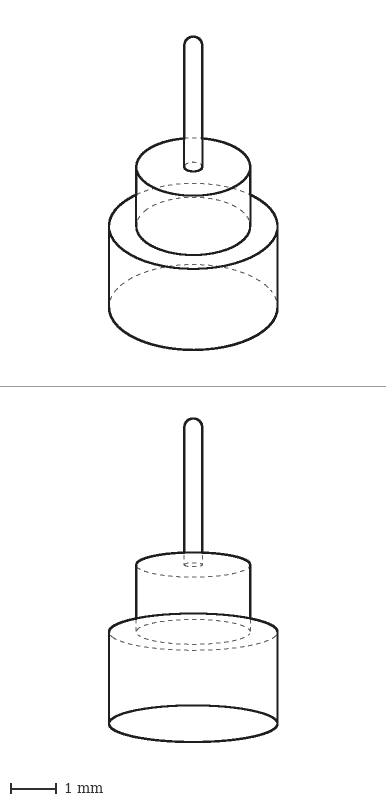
import cadquery as cq

total_height = 6.85
base_diameter = 3.7
base_height = 2.06
collar_diameter = 2.5
collar_height = 1.51
pin_diameter = 0.4

pin_radius = pin_diameter / 2
pin_height = total_height - base_height - collar_height

base = cq.Workplane("XY").circle(base_diameter / 2).extrude(base_height)
body = base.faces(">Z").workplane().circle(collar_diameter / 2).extrude(collar_height)

pin = (
    body.faces(">Z")
    .workplane()
    .circle(pin_radius)
    .extrude(pin_height - pin_radius, combine=False)
)
tip = cq.Workplane("XY").sphere(pin_radius).translate((0, 0, total_height - pin_radius))

result = body.union(pin).union(tip)